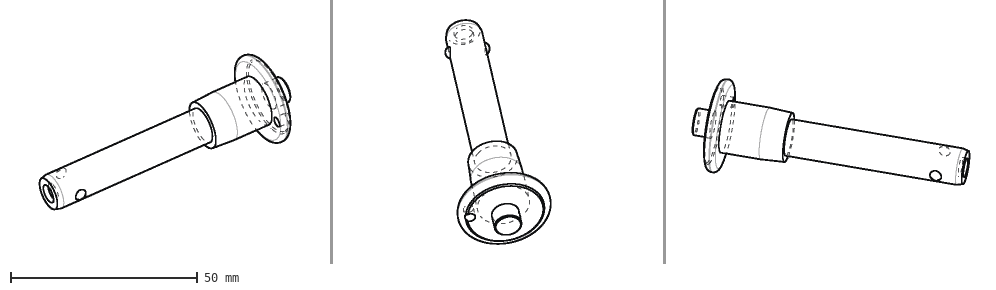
import cadquery as cq
import math

length = 74.7

shank_radius = 10.0 / 2
tip_radius = 9.1 / 2
tip_taper_length = 1.65
recess_diameter = 5.15
recess_depth = 1.5

ball_radius = 1.7
ball_reach = 6.05
ball_y = 7.1

body_radius = 14.2 / 2
body_nose_radius = 13.45 / 2
body_front_y = 48.9
body_taper_end_y = 55.4

flange_radius = 25.4 / 2
flange_front_y = 66.5
flange_back_y = 69.9
flange_edge_radius = 1.3
rim_y = 68.0
rim_back_y = 69.55
rim_back_radius = 10.75
back_face_radius = 10.3
lanyard_hole_diameter = 2.8
lanyard_hole_x = 9.55

button_radius = 7.4 / 2
button_chamfer = 0.3


def revolved_body():
    """Revolve the half outline (radius, Y) about the Y axis."""
    edge_center_radius = flange_radius - flange_edge_radius
    edge_center_y = flange_front_y + flange_edge_radius
    diagonal = flange_edge_radius * math.sqrt(0.5)
    edge_middle = (edge_center_radius + diagonal, edge_center_y - diagonal)
    return (
        cq.Workplane("XY")
        .lineTo(tip_radius, 0)
        .lineTo(shank_radius, tip_taper_length)
        .lineTo(shank_radius, body_front_y)
        .lineTo(body_nose_radius, body_front_y)
        .lineTo(body_radius, body_taper_end_y)
        .lineTo(body_radius, flange_front_y)
        .lineTo(edge_center_radius, flange_front_y)
        .threePointArc(edge_middle, (flange_radius, edge_center_y))
        .lineTo(flange_radius, rim_y)
        .tangentArcPoint((rim_back_radius, rim_back_y), relative=False)
        .lineTo(back_face_radius, flange_back_y)
        .lineTo(button_radius, flange_back_y)
        .lineTo(button_radius, length - button_chamfer)
        .lineTo(button_radius - button_chamfer, length)
        .lineTo(0, length)
        .close()
        .revolve(360, (0, 0, 0), (0, 1, 0))
    )


def round_cut(diameter, x, start_y, depth):
    """Cylinder along +Y, used to cut a round hole."""
    return (
        cq.Workplane("XZ", origin=(x, start_y, 0))
        .circle(diameter / 2)
        .extrude(-depth)
    )


def locking_ball(side):
    """Ball protruding from the shank on the +X (1) or -X (-1) side."""
    center_x = side * (ball_reach - ball_radius)
    return cq.Workplane("XY").sphere(ball_radius).translate((center_x, ball_y, 0))


result = revolved_body()
for side in (-1, 1):
    result = result.union(locking_ball(side))

flange_thickness = flange_back_y - flange_front_y
result = result.cut(round_cut(recess_diameter, 0, 0, recess_depth))
result = result.cut(
    round_cut(lanyard_hole_diameter, lanyard_hole_x, flange_front_y, flange_thickness)
)